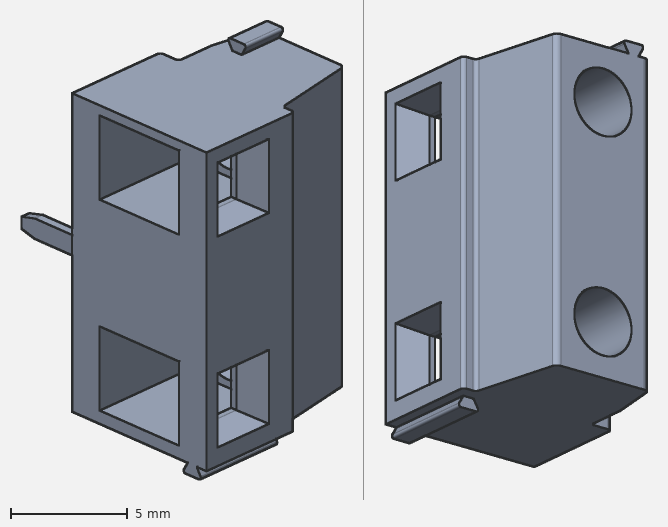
import cadquery as cq
import math


body_width = 8.07
body_height = 15.32
body_depth = 10.0
shoulder_y = 5.41
neck_left_x = 1.1
neck_kink_y = 7.45
neck_right_x = 7.37
neck_draft = math.tan(math.radians(10))
shoulder_radius = 0.2
neck_top_radius = 0.3

pole_pitch = 10.15
pole_zs = [(body_height - pole_pitch) / 2, (body_height + pole_pitch) / 2]
chamber_width = 4.75
chamber_height = 4.05
chamber_depth = shoulder_y
chamber_offset_z = 0.08
screw_hole_diameter = 3.1

window_y_min = 1.32
window_length_y = 1.89
window_margin_z = 0.65
window_height = chamber_height - 2 * window_margin_z
window_lip = 0.31
funnel_spread_y = 0.62
funnel_spread_z = 0.41

pin_length = 3.53
pin_height = 0.99
pin_thickness = 0.5
pin_y_min = 0.5
pin_tip_height = 0.58
pin_taper_length = 0.8

key_height = (16.44 - body_height) / 2
key_neck_width = 0.56
key_flare = key_height * math.tan(math.radians(30))
key_corner_radius = 0.12
top_key_x = 2.37
top_key_length = 2.3
bottom_key_x = 7.22
bottom_key_length = 4.69


def make_body():
    neck_top_left_x = neck_left_x + (body_depth - neck_kink_y) * neck_draft
    neck_top_right_x = neck_right_x - (body_depth - shoulder_y) * neck_draft
    outline = [
        (0, 0),
        (body_width, 0),
        (body_width, shoulder_y),
        (neck_right_x, shoulder_y),
        (neck_top_right_x, body_depth),
        (neck_top_left_x, body_depth),
        (neck_left_x, neck_kink_y),
        (neck_left_x, shoulder_y),
        (0, shoulder_y),
    ]
    body = cq.Workplane("XY").polyline(outline).close().extrude(body_height)
    shoulder_band = cq.selectors.BoxSelector(
        (-0.16, shoulder_y - 0.16, -0.16),
        (body_width + 0.16, shoulder_y + 0.16, body_height + 0.16),
    )
    body = body.edges("|Z").edges(shoulder_band).fillet(shoulder_radius)
    return body.faces(">Y").edges("|Z").fillet(neck_top_radius)


def make_chamber(pole_z):
    """Rectangular chamber open at the front, with the screw hole behind it."""
    center_x = body_width / 2
    chamber = cq.Workplane("XY").box(
        chamber_width, chamber_depth, chamber_height, centered=(True, False, True)
    ).translate((center_x, 0, pole_z + chamber_offset_z))
    screw_hole = (
        cq.Workplane("XZ", origin=(center_x, 0, pole_z))
        .circle(screw_hole_diameter / 2)
        .extrude(-body_depth)
    )
    return chamber.union(screw_hole)


def make_wire_entry(pole_z):
    """Window through the chamber side wall, widening toward the outer face."""
    chamber_side_x = (body_width + chamber_width) / 2
    funnel_start_x = chamber_side_x + window_lip
    center = (0, window_y_min + window_length_y / 2, pole_z + chamber_offset_z)
    window = (
        cq.Workplane("YZ", origin=center)
        .workplane(offset=body_width / 2)
        .rect(window_length_y, window_height)
        .extrude(funnel_start_x - body_width / 2)
    )
    funnel = (
        cq.Workplane("YZ", origin=center)
        .workplane(offset=funnel_start_x)
        .rect(window_length_y, window_height)
        .workplane(offset=body_width - funnel_start_x)
        .rect(window_length_y + 2 * funnel_spread_y, window_height + 2 * funnel_spread_z)
        .loft(ruled=True)
    )
    return window.union(funnel)


def make_pin():
    half_height = pin_height / 2
    half_tip = pin_tip_height / 2
    taper_x = pin_taper_length - pin_length
    outline = [
        (0, -half_height),
        (0, half_height),
        (taper_x, half_height),
        (-pin_length, half_tip),
        (-pin_length, -half_tip),
        (taper_x, -half_height),
    ]
    return (
        cq.Workplane("XZ", origin=(0, pin_y_min, body_height / 2))
        .polyline(outline)
        .close()
        .extrude(-pin_thickness)
    )


def make_key(center_x, base_z, direction, y_min, length):
    """Dovetail key standing on an end face; direction is +1 for up, -1 for down."""
    half_neck = key_neck_width / 2
    half_crest = half_neck + key_flare
    crest_z = direction * key_height
    outline = [(-half_neck, 0), (half_neck, 0), (half_crest, crest_z), (-half_crest, crest_z)]
    key = (
        cq.Workplane("XZ", origin=(center_x, y_min, base_z))
        .polyline(outline)
        .close()
        .extrude(-length)
    )
    crest = ">Z" if direction > 0 else "<Z"
    return key.faces(crest).edges("|Y").fillet(key_corner_radius)


result = make_body()
for pole_z in pole_zs:
    result = result.cut(make_chamber(pole_z)).cut(make_wire_entry(pole_z))

result = (
    result.union(make_pin())
    .union(make_key(top_key_x, body_height, 1, body_depth - top_key_length, top_key_length))
    .union(make_key(bottom_key_x, 0, -1, 0, bottom_key_length))
)